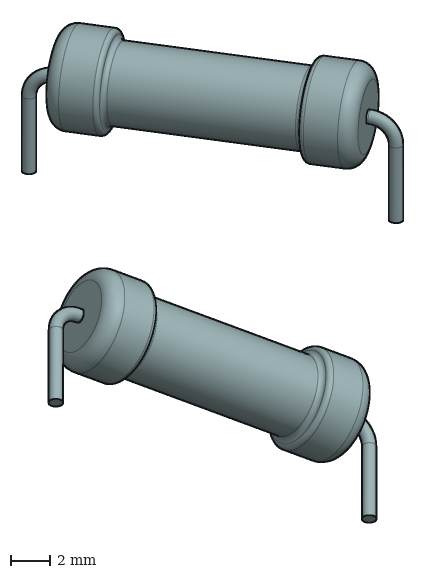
import cadquery as cq
import math

overall_length = 20.25
overall_height = 8.6
lead_diameter = 0.75
lead_bend_radius = 1.4
body_length = 16.52
cap_diameter = 5.6
cap_end_round = 0.85
cap_straight_length = 1.82
shoulder_round = 0.28
barrel_diameter = 4.45

body_half = body_length / 2
cap_radius = cap_diameter / 2
barrel_radius = barrel_diameter / 2
shoulder_fillet = cap_radius - barrel_radius - shoulder_round
band_outer_x = body_half - cap_end_round
band_inner_x = band_outer_x - cap_straight_length
shoulder_x = band_inner_x - shoulder_round
barrel_end_x = shoulder_x - shoulder_fillet
lead_drop = overall_height - cap_radius
lead_x = (overall_length - lead_diameter) / 2
bend_start_x = lead_x - lead_bend_radius
COS_45 = math.cos(math.radians(45))


def make_body():
    """Resistor body: a barrel with a rounded cap at each end, revolved about X."""
    face_radius = cap_radius - cap_end_round
    end_round_mid_x = band_outer_x + cap_end_round * COS_45
    end_round_mid_radius = face_radius + cap_end_round * COS_45
    wall_radius = cap_radius - shoulder_round
    convex_mid_x = band_inner_x - shoulder_round * COS_45
    convex_mid_radius = wall_radius + shoulder_round * COS_45
    concave_mid_x = barrel_end_x + shoulder_fillet * COS_45
    concave_mid_radius = wall_radius - shoulder_fillet * COS_45

    profile = (
        cq.Workplane("XY")
        .moveTo(-body_half, 0)
        .lineTo(-body_half, face_radius)
        .threePointArc((-end_round_mid_x, end_round_mid_radius), (-band_outer_x, cap_radius))
        .lineTo(-band_inner_x, cap_radius)
        .threePointArc((-convex_mid_x, convex_mid_radius), (-shoulder_x, wall_radius))
        .threePointArc((-concave_mid_x, concave_mid_radius), (-barrel_end_x, barrel_radius))
        .lineTo(barrel_end_x, barrel_radius)
        .threePointArc((concave_mid_x, concave_mid_radius), (shoulder_x, wall_radius))
        .threePointArc((convex_mid_x, convex_mid_radius), (band_inner_x, cap_radius))
        .lineTo(band_outer_x, cap_radius)
        .threePointArc((end_round_mid_x, end_round_mid_radius), (body_half, face_radius))
        .lineTo(body_half, 0)
        .close()
    )
    return profile.revolve(360, (0, 0, 0), (1, 0, 0))


def make_lead(side):
    """Round wire from a body end face, bent down; side is -1 or +1 along X."""
    bend_mid = (
        side * (bend_start_x + lead_bend_radius * COS_45),
        lead_bend_radius * (COS_45 - 1),
    )
    path = (
        cq.Workplane("XZ")
        .moveTo(side * body_half, 0)
        .lineTo(side * bend_start_x, 0)
        .threePointArc(bend_mid, (side * lead_x, -lead_bend_radius))
        .lineTo(side * lead_x, -lead_drop)
    )
    section = cq.Workplane("YZ", origin=(side * body_half, 0, 0)).circle(lead_diameter / 2)
    return section.sweep(path)


body = make_body()
leads = [make_lead(side) for side in (-1, 1)]

result = cq.Compound.makeCompound([body.val(), *[lead.val() for lead in leads]])